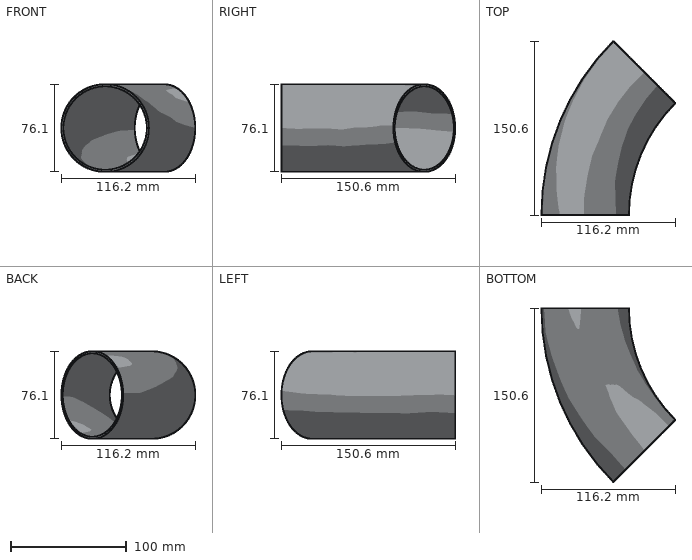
import cadquery as cq
import math

overall_length = 150.6
outer_diameter = 76.1
wall_thickness = 2.0
bend_angle = 45.0

outer_radius = outer_diameter / 2
inner_radius = outer_radius - wall_thickness

bend_radius = overall_length / math.sin(math.radians(bend_angle)) - outer_radius

result = (
    cq.Workplane("XZ")
    .circle(outer_radius)
    .circle(inner_radius)
    .revolve(bend_angle, (bend_radius, 0), (bend_radius, -1))
)